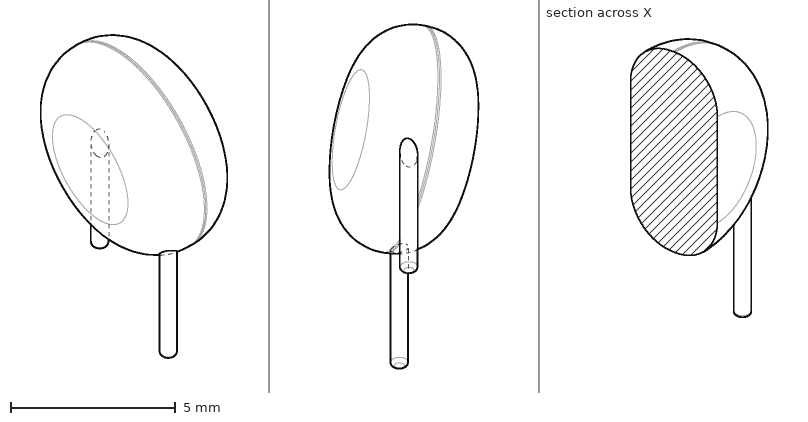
import cadquery as cq

body_diameter = 7.0
body_thickness = 3.4
rim_band_width = 0.1
edge_radius = (body_thickness - rim_band_width) / 2
body_center_z = body_diameter / 2

lead_diameter = 0.54
lead_pitch_x = 5.0
lead_offset_y = 1.3
lead_length_below_body = 3.03
lead_tip_radius = 0.12
lead_top_z = body_center_z


def make_body():
    """Round disc whose two edges are rounded, leaving a narrow band at the rim."""
    return (
        cq.Workplane("XZ")
        .center(0, body_center_z)
        .circle(body_diameter / 2)
        .extrude(body_thickness / 2, both=True)
        .edges()
        .fillet(edge_radius)
    )


def make_lead(x, y):
    """Straight round lead with a rounded lower tip, its upper end buried in the body."""
    return (
        cq.Workplane("XY", origin=(x, y, -lead_length_below_body))
        .circle(lead_diameter / 2)
        .extrude(lead_length_below_body + lead_top_z)
        .faces("<Z")
        .edges()
        .fillet(lead_tip_radius)
    )


result = make_body()
for side in (-1, 1):
    lead = make_lead(side * lead_pitch_x / 2, -side * lead_offset_y / 2)
    result = result.union(lead)